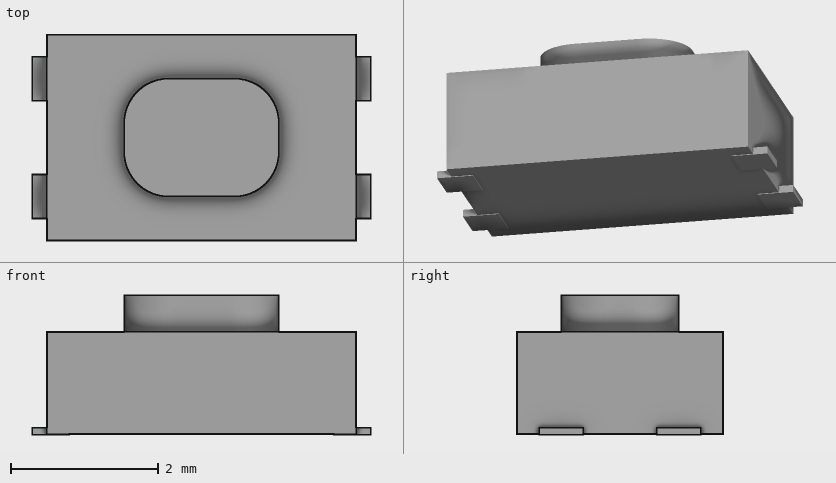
import cadquery as cq

overall_length = 4.6
overall_height = 1.9

housing_length = 4.2
housing_width = 2.8
housing_bottom = 0.01
housing_top = 1.4

button_length = 2.1
button_width = 1.6
button_corner_radius = 0.6

terminal_length = 0.5
terminal_width = 0.6
terminal_thickness = 0.1
terminal_pitch = 1.6


def make_housing():
    """Plain rectangular housing, raised slightly above the terminal undersides."""
    height = housing_top - housing_bottom
    return (
        cq.Workplane("XY", origin=(0, 0, housing_bottom))
        .box(housing_length, housing_width, height, centered=(True, True, False))
    )


def make_button():
    """Rounded rectangular button standing on top of the housing."""
    height = overall_height - housing_top
    return (
        cq.Workplane("XY", origin=(0, 0, housing_top))
        .box(button_length, button_width, height, centered=(True, True, False))
        .edges("|Z")
        .fillet(button_corner_radius)
    )


def make_terminals():
    """Four flat terminals, two at each end, running from under the housing outwards."""
    spacing = overall_length - terminal_length
    return (
        cq.Workplane("XY")
        .rarray(spacing, terminal_pitch, 2, 2)
        .box(terminal_length, terminal_width, terminal_thickness, centered=(True, True, False))
    )


result = make_housing().union(make_button()).union(make_terminals())